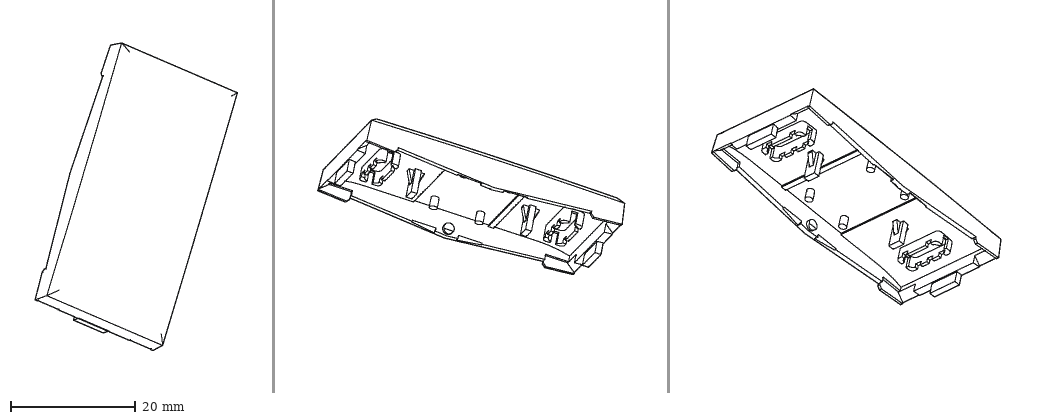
import cadquery as cq
import math


RIM_WIDTH = 21.75
RIM_LENGTH = 44.3
DRAFT_ANGLE = 2.8
TOP_Z = 1.15
CROWN_RISE = 0.25
BEVEL = 1.15
EDGE_RADIUS = 0.3
BLOCK_BOTTOM_Z = -5.15

CENTRE_Z = -4.8
TAB_START = 16.9
NOTCH_Z = -3.3
TAB_Z = -4.23
TAB_CORNER = 0.5
END_Z = -3.8

SIDE_WALL = 1.0
CAVITY_WIDTH = 20.2
CAVITY_LENGTH = 41.8
CEILING_Z = -0.85
CEILING_FLAT = 15.25
CEILING_END_DROP = 0.75
RECESS_DEPTH = 0.3
RIB_Y = -7.05
RIB_WIDTH = 0.95
RECESS_END = 6.5

TAB_POCKET_WIDTH = 21.15
TAB_POCKET_Z = -2.35

END_BLOCK_WIDTH = 13.45
END_SLOPE_INNER_Z = -2.45
END_SLOPE_OUTER_Z = -3.9

HOOK_WIDTH = 5.65
HOOK_BOTTOM_Z = -5.95
HOOK_INNER_Y = 21.15
HOOK_OUTER_Y = 22.2

BUMP_RADIUS = 0.9
BUMP_HEIGHT = 0.6
BUMP_Z = -3.6
BUMP_RAMP_HEIGHT = 0.55
BUMP_RAMP_DEPTH = 0.35
RELIEF_START = 1.95
RELIEF_END = 6.1
RELIEF_Z = -4.05
RELIEF_DEPTH = 0.9

PIN_X = 6.95
PIN_Y = 4.0
PIN_RADIUS = 0.65
PIN_END_Z = -2.35

POST_Y = 10.0
POST_LENGTH = 2.35
POST_WIDTH = 1.05
POST_END_Z = -5.02
GUSSET_THICKNESS = 0.95
GUSSET_REACH = 1.35
GUSSET_END_Z = -3.1

FRAME_Y = 16.05
FRAME_LENGTH = 9.1
FRAME_WIDTH = 3.65
FRAME_WALL = 0.55
FRAME_RADIUS = 0.7
FRAME_INNER_RADIUS = 0.95
FRAME_END_Z = -3.0
SLOT_WIDTH = 1.05
SLOT_TOP_Z = -1.05
NOTCH_PITCH = 2.65
NOTCH_WIDTH = 1.15
NOTCH_DEPTH = 0.7

TILT_ABOUT_Y = 33.0
TILT_ABOUT_X = 20.0

BIG = 28.18


def box(x_range, y_range, z_range):
    """Axis-aligned box given by its limits."""
    size = [high - low for low, high in (x_range, y_range, z_range)]
    corner = (x_range[0], y_range[0], z_range[0])
    return cq.Workplane("XY").box(*size, centered=False).translate(corner)


def both(limit):
    """Limits of a span centred on zero."""
    return (-limit / 2, limit / 2)


def side_profile(outline, width):
    """Closed YZ outline extruded symmetrically across the width."""
    return outline.close().extrude(width / 2, both=True)


def shell_block():
    """Drafted, crowned and bevelled outer block with the stepped lower edge."""
    growth = 2 * -BLOCK_BOTTOM_Z * math.tan(math.radians(DRAFT_ANGLE))
    drafted = (
        cq.Workplane("XY", origin=(0, 0, BLOCK_BOTTOM_Z))
        .rect(RIM_WIDTH + growth, RIM_LENGTH + growth)
        .extrude(TOP_Z + CROWN_RISE - BLOCK_BOTTOM_Z + 0.45, taper=DRAFT_ANGLE)
    )
    lower_edge = [
        (BIG, END_Z),
        (TAB_START + TAB_CORNER, TAB_Z),
        (TAB_START, TAB_Z + TAB_CORNER),
        (TAB_START, NOTCH_Z),
    ]
    mirrored = [(-y, z) for y, z in reversed(lower_edge)]
    half = RIM_LENGTH / 2
    outline = (
        cq.Workplane("YZ")
        .moveTo(-half - 0.45, TOP_Z)
        .threePointArc((0, TOP_Z + CROWN_RISE), (half + 0.45, TOP_Z))
        .lineTo(half + 0.45, END_Z)
        .polyline(lower_edge[1:] + [(0, CENTRE_Z)] + mirrored[:-1], includeCurrent=True)
        .lineTo(-half - 0.45, END_Z)
    )
    block = drafted.intersect(side_profile(outline, BIG))
    block = block.faces(">Z").edges("not |X").chamfer(BEVEL)
    block = block.faces(">Z").edges("|X").chamfer(BEVEL)
    return block.faces(">Z").edges().fillet(EDGE_RADIUS)


def ceiling_cavity(ceiling_z):
    """Cavity whose ceiling is flat in the middle and curves down to both ends."""
    half = CAVITY_LENGTH / 2
    end_z = ceiling_z - CEILING_END_DROP
    outline = (
        cq.Workplane("YZ")
        .moveTo(-CEILING_FLAT, ceiling_z)
        .lineTo(CEILING_FLAT, ceiling_z)
        .tangentArcPoint((half, end_z), relative=False)
        .lineTo(half, 2 * BLOCK_BOTTOM_Z)
        .lineTo(-half, 2 * BLOCK_BOTTOM_Z)
        .lineTo(-half, end_z)
        .threePointArc(mirrored_arc_middle(half, ceiling_z), (-CEILING_FLAT, ceiling_z))
    )
    return side_profile(outline, CAVITY_WIDTH)


def mirrored_arc_middle(half, ceiling_z):
    """Middle point of the ceiling arc at the -Y end."""
    run = half - CEILING_FLAT
    radius = (run ** 2 + CEILING_END_DROP ** 2) / (2 * CEILING_END_DROP)
    angle = math.asin(run / radius) / 2
    return (-CEILING_FLAT - radius * math.sin(angle), ceiling_z - radius * (1 - math.cos(angle)))


def cavity():
    """Whole hollow: the main cavity plus the two shallow ceiling recesses."""
    deep = ceiling_cavity(CEILING_Z + RECESS_DEPTH)
    raised = box(both(BIG), (RECESS_END, BIG), (CEILING_Z - BIG, BIG))
    rib = box(both(BIG), (RIB_Y - RIB_WIDTH / 2, RIB_Y + RIB_WIDTH / 2), both(BIG))
    return ceiling_cavity(CEILING_Z).union(deep.cut(raised).cut(rib))


def tab_pocket(side):
    """Thinning of the corner tabs at one end, up to the inner face of the end wall."""
    y_range = sorted((side * TAB_START, side * CAVITY_LENGTH / 2))
    return box(both(TAB_POCKET_WIDTH), y_range, (2 * BLOCK_BOTTOM_Z, TAB_POCKET_Z))


def end_slope(side):
    """Material under the sloped underside of one end wall, beside its central block."""
    inner = CAVITY_LENGTH / 2
    outer = RIM_LENGTH / 2 + 0.45
    outline = cq.Workplane("YZ").polyline(
        [
            (side * inner, END_SLOPE_INNER_Z),
            (side * outer, END_SLOPE_OUTER_Z),
            (side * outer, 2 * BLOCK_BOTTOM_Z),
            (side * inner, 2 * BLOCK_BOTTOM_Z),
        ]
    )
    wedge = side_profile(outline, TAB_POCKET_WIDTH)
    return wedge.cut(box(both(END_BLOCK_WIDTH), both(2 * BIG), both(BIG)))


def hook(side):
    """Rectangular hook hanging from the middle of one end wall."""
    y_range = sorted((side * HOOK_INNER_Y, side * HOOK_OUTER_Y))
    return box(both(HOOK_WIDTH), y_range, (HOOK_BOTTOM_Z, END_SLOPE_INNER_Z))


def edge_relief(x_side, y_side):
    """Slanted relief of the inner lower edge of a long wall, beside its middle."""
    inner = CAVITY_WIDTH / 2
    slope = RELIEF_DEPTH / (RELIEF_Z - CENTRE_Z)
    drop = RELIEF_Z - BLOCK_BOTTOM_Z
    outline = cq.Workplane("XZ").polyline(
        [
            (x_side * inner, RELIEF_Z),
            (x_side * (inner + slope * drop), BLOCK_BOTTOM_Z),
            (x_side * inner, BLOCK_BOTTOM_Z),
        ]
    )
    wedge = outline.close().extrude(RELIEF_END - RELIEF_START)
    start = RELIEF_END if y_side > 0 else -RELIEF_START
    return wedge.translate((0, start, 0))


def wall_bump(x_side):
    """Round bearing bump on the inner face of a long wall, with a ramp cut on its lower side."""
    wall = CAVITY_WIDTH / 2
    tip = wall - BUMP_HEIGHT
    bottom = BUMP_Z - BUMP_RADIUS
    bump = (
        cq.Workplane("YZ", origin=(tip, 0, BUMP_Z))
        .circle(BUMP_RADIUS)
        .extrude(BUMP_HEIGHT + SIDE_WALL / 2)
    )
    ramp = (
        cq.Workplane("XZ")
        .polyline([(tip, bottom), (tip + BUMP_RAMP_DEPTH, bottom), (tip, bottom + BUMP_RAMP_HEIGHT)])
        .close()
        .extrude(BUMP_RADIUS, both=True)
    )
    bump = bump.cut(ramp)
    return bump if x_side > 0 else bump.mirror("YZ")


def pin(x_side, y_side):
    """Round pin hanging from the ceiling."""
    return (
        cq.Workplane("XY", origin=(x_side * PIN_X, y_side * PIN_Y, PIN_END_Z))
        .circle(PIN_RADIUS)
        .extrude(-PIN_END_Z)
    )


def post(y):
    """Central post with a tapering gusset on both sides."""
    bar = box(both(POST_LENGTH), both(POST_WIDTH), (POST_END_Z, 0))
    half = POST_WIDTH / 2
    gussets = side_profile(
        cq.Workplane("YZ").polyline(
            [
                (-half, 0),
                (-GUSSET_REACH, 0),
                (-GUSSET_REACH, CEILING_Z),
                (-half, GUSSET_END_Z),
                (half, GUSSET_END_Z),
                (GUSSET_REACH, CEILING_Z),
                (GUSSET_REACH, 0),
            ]
        ),
        GUSSET_THICKNESS,
    )
    return bar.union(gussets).translate((0, y, 0))


def frame(y):
    """Rectangular frame, slotted through both ends and notched along its long walls."""
    height = -FRAME_END_Z
    base = cq.Workplane("XY", origin=(0, 0, FRAME_END_Z))
    ring = base.rect(FRAME_LENGTH, FRAME_WIDTH).extrude(height).edges("|Z").fillet(FRAME_RADIUS)
    opening = (
        base.rect(FRAME_LENGTH - 2 * FRAME_WALL, FRAME_WIDTH - 2 * FRAME_WALL)
        .extrude(height)
        .edges("|Z")
        .fillet(FRAME_INNER_RADIUS)
    )
    ring = ring.cut(opening)
    ring = ring.cut(box(both(BIG), both(SLOT_WIDTH), (FRAME_END_Z, SLOT_TOP_Z)))
    for y_side, positions in ((1, (-1, 0, 1)), (-1, (-1, 1))):
        y_range = sorted((0, y_side * FRAME_WIDTH))
        for index in positions:
            x = index * NOTCH_PITCH
            x_range = (x - NOTCH_WIDTH / 2, x + NOTCH_WIDTH / 2)
            ring = ring.cut(box(x_range, y_range, (FRAME_END_Z, FRAME_END_Z + NOTCH_DEPTH)))
    return ring.translate((0, y, 0))


cap = shell_block().cut(cavity())
for side in (-1, 1):
    cap = cap.cut(tab_pocket(side)).cut(end_slope(side))
    for y_side in (-1, 1):
        cap = cap.cut(edge_relief(side, y_side))

for side in (-1, 1):
    cap = cap.union(hook(side))
    cap = cap.union(wall_bump(side))
    cap = cap.union(post(side * POST_Y))
    cap = cap.union(frame(side * FRAME_Y))
    for y_side in (-1, 1):
        cap = cap.union(pin(side, y_side))

result = cap.rotate((0, 0, 0), (0, 1, 0), TILT_ABOUT_Y).rotate((0, 0, 0), (1, 0, 0), TILT_ABOUT_X)